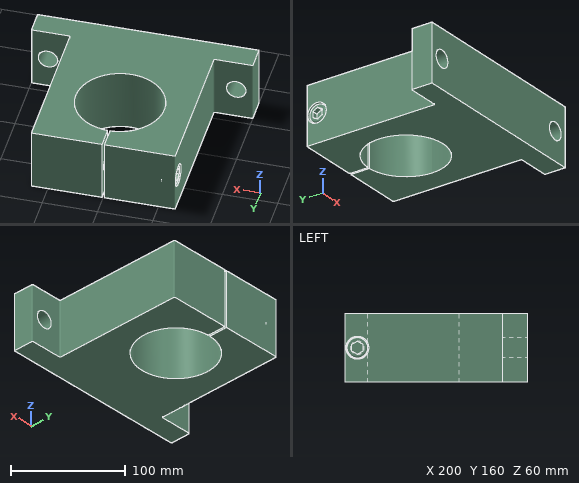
import cadquery as cq
import math

flange_length = 200.0
flange_thickness = 22.0
part_width = 60.0
part_height = 160.0
corner_radius = 1.0

block_length = 130.0
bore_diameter = 80.0
bore_centre_y = 100.0
slit_width = 2.0

mount_hole_diameter = 17.5
mount_hole_spacing = 170.0

screw_y = part_height - 11.0
shank_diameter = 12.0
head_diameter = 18.0
head_height = 12.0
head_edge_radius = 1.5
head_recess = 0.8
counterbore_diameter = 20.0
hex_across_flats = 10.0
hex_depth = 6.0

block_side_x = block_length / 2
counterbore_depth = head_height + head_recess
head_face_x = -block_side_x + head_recess
head_seat_x = -block_side_x + counterbore_depth
shank_end_x = slit_width


def centred_bar(length_x, length_y):
    """Full-width bar standing on the plane Y = 0."""
    return cq.Workplane("XY").box(length_x, length_y, part_width, centered=(True, False, True))


def make_bracket():
    """Flange and block, with the outer upper corners and the inner corners rounded."""
    flange = centred_bar(flange_length, flange_thickness).edges("|Z and >Y").fillet(corner_radius)
    block = centred_bar(block_length, part_height).edges("|Z and >Y").fillet(corner_radius)
    inner_corners = cq.selectors.BoxSelector(
        (-block_side_x - corner_radius, flange_thickness - corner_radius / 2, -part_width),
        (block_side_x + corner_radius, flange_thickness + corner_radius / 2, part_width),
    )
    return flange.union(block).edges("|Z").edges(inner_corners).fillet(corner_radius)


def make_bore_and_slit():
    """Shaft bore along Z and the slit running from it to the top face."""
    bore = (
        cq.Workplane("XY")
        .center(0, bore_centre_y)
        .circle(bore_diameter / 2)
        .extrude(part_width / 2, both=True)
    )
    slit_length = part_height - bore_centre_y
    slit = centred_bar(slit_width, slit_length)
    return bore.union(slit.translate((0, bore_centre_y, 0)))


def make_mount_holes():
    """Pair of plain holes along Y through the flange."""
    return (
        cq.Workplane("XZ")
        .pushPoints([(-mount_hole_spacing / 2, 0), (mount_hole_spacing / 2, 0)])
        .circle(mount_hole_diameter / 2)
        .extrude(-flange_thickness)
    )


def screw_plane(x):
    """Plane square to the screw axis, facing +X, at position x."""
    return cq.Workplane("YZ", origin=(x, screw_y, 0))


def make_counterbore():
    return screw_plane(-block_side_x).circle(counterbore_diameter / 2).extrude(counterbore_depth)


def make_screw():
    """Socket head with rounded rim, and the shank that bridges the slit."""
    hex_across_corners = hex_across_flats / math.cos(math.radians(30))
    head = screw_plane(head_face_x).circle(head_diameter / 2).extrude(head_height)
    head = head.edges("<X").fillet(head_edge_radius)
    socket = (
        screw_plane(head_face_x)
        .transformed(rotate=(0, 0, 90))
        .polygon(6, hex_across_corners)
        .extrude(hex_depth)
    )
    shank_length = shank_end_x - head_seat_x
    shank = screw_plane(head_seat_x).circle(shank_diameter / 2).extrude(shank_length)
    return head.cut(socket).union(shank)


bracket = make_bracket().cut(make_bore_and_slit()).cut(make_mount_holes()).cut(make_counterbore())
result = bracket.union(make_screw())